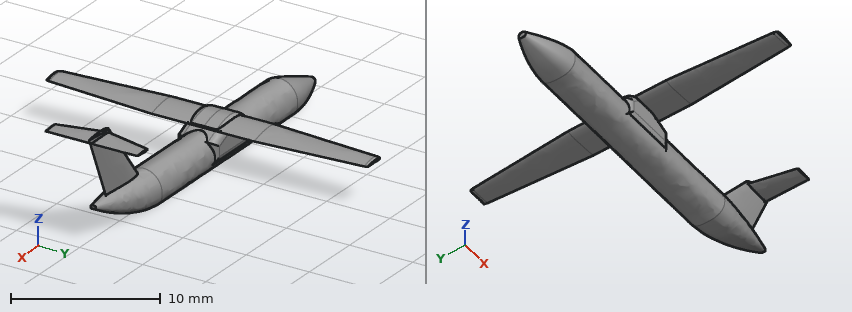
import cadquery as cq
import math

BODY_WIDTH = 2.9
BODY_HEIGHT = 2.68
WAIST_HEIGHT = 0.46
BELLY_FULLNESS = 2.6
SECTION_POINTS = 24
NOSE_LENGTH = 4.0
TAIL_START_X = 20.85
TAIL_END_X = 27.13
NOSE_TIP_BOTTOM = 0.7
NOSE_TIP_TOP = 1.22
NOSE_TIP_WIDTH = 0.6
TAIL_TIP_BOTTOM = 2.15
TAIL_TIP_TOP = 2.43
TAIL_TIP_WIDTH = 0.45
TAPER_STEPS = 6
NOSE_TOP_POWER = 1.2
NOSE_BOTTOM_POWER = 2.0
NOSE_WIDTH_POWER = 1.6
TAIL_TOP_POWER = 3.0
TAIL_BOTTOM_POWER = 1.7
TAIL_WIDTH_POWER = 1.6

FAIRING_FRONT_X = 9.9
FAIRING_REAR_X = 14.5
FAIRING_WIDTH = 3.15
FAIRING_BOTTOM_Z = 0.65
FAIRING_FRONT_Z = 2.27
FAIRING_REAR_Z = 2.32
FAIRING_CREST_X = 11.17
FAIRING_CREST_Z = 3.25
FAIRING_SHOULDER_X = 12.85
FAIRING_SHOULDER_Z = 3.05
FAIRING_ROUND = 0.58

WING_SPAN = 25.45
WING_CENTRE_SPAN = 8.13
WING_CAP_LENGTH = 0.25
WING_ROOT_FRONT_X = 10.75
WING_ROOT_CHORD = 2.77
WING_TIP_FRONT_X = 11.4
WING_TIP_CHORD = 1.65
WING_CAP_INSET = 0.05
WING_ROOT_Z = 2.88
WING_TIP_Z = 2.93
WING_THICKNESS = 0.17
WING_CAP_THICKNESS = 0.1
WING_CAMBER = 0.03
WING_DROP = 0.03

FIN_BASE_Z = 2.2
FIN_TOP_Z = 7.45
FIN_BASE_FRONT_X = 21.33
FIN_BASE_REAR_X = 25.45
FIN_TOP_FRONT_X = 25.35
FIN_TOP_REAR_X = 27.65
FIN_THICKNESS = 0.125

TAILPLANE_SPAN = 7.27
TAILPLANE_Z = 7.08
TAILPLANE_REAR_X = 27.38
TAILPLANE_ROOT_FRONT_X = 25.28
TAILPLANE_TIP_FRONT_X = 26.08
TAILPLANE_ROOT_THICKNESS = 0.15
TAILPLANE_TIP_THICKNESS = 0.1

AIRFOIL_STEPS = 10
ROOT_FACTOR = 1.4845
POWER_FACTORS = (-0.63, -1.758, 1.4215, -0.5075)


def half_thickness(s):
    """Half thickness of an airfoil of unit thickness at chord fraction s."""
    powers = sum(factor * s ** (i + 1) for i, factor in enumerate(POWER_FACTORS))
    return ROOT_FACTOR * math.sqrt(s) + powers


def airfoil_wire(place, chord, thickness, camber=0.0, drop=0.0):
    """Closed airfoil; place(along, across) turns section offsets into a 3D point."""
    def point(s, side):
        middle = 4 * camber * s * (1 - s) - drop * s
        return place(chord * s, chord * (middle + side * thickness * half_thickness(s)))

    fractions = [(i / AIRFOIL_STEPS) ** 2 for i in range(AIRFOIL_STEPS + 1)]
    upper = [point(s, 1) for s in reversed(fractions)]
    lower = [point(s, -1) for s in fractions[1:]]
    outline = upper + lower
    skin = cq.Edge.makeSpline(outline)
    trailing_edge = cq.Edge.makeLine(outline[-1], outline[0])
    return cq.Wire.assembleEdges([skin, trailing_edge])


def airfoil_across(y, front_x, z, chord, thickness, camber=0.0, drop=0.0):
    """Airfoil in a plane of constant Y."""
    return airfoil_wire(lambda along, across: cq.Vector(front_x + along, y, z + across),
                        chord, thickness, camber, drop)


def airfoil_level(z, front_x, chord, thickness):
    """Symmetric airfoil in a plane of constant Z."""
    return airfoil_wire(lambda along, across: cq.Vector(front_x + along, across, z),
                        chord, thickness)


def oval(x, width, bottom, top):
    """Fuselage section at station x: elliptical crown above a fuller, flatter belly."""
    waist_z = bottom + WAIST_HEIGHT * (top - bottom)

    def point(i):
        angle = 2 * math.pi * i / SECTION_POINTS
        across = math.sin(angle)
        up = math.cos(angle)
        if up >= 0:
            height = top - waist_z
            power = 1
        else:
            height = waist_z - bottom
            power = 2 / BELLY_FULLNESS
        y = math.copysign(abs(across) ** power, across) * width / 2
        z = math.copysign(abs(up) ** power, up) * height
        return cq.Vector(x, y, waist_z + z)

    skin = cq.Edge.makeSpline([point(i) for i in range(SECTION_POINTS)], periodic=True)
    return cq.Wire.assembleEdges([skin])


def tapered(full, tip, t, power):
    """Size that eases from full (t = 0) to tip (t = 1)."""
    return full + (tip - full) * t ** power


def nose_section(t):
    return oval(NOSE_LENGTH * (1 - t),
                tapered(BODY_WIDTH, NOSE_TIP_WIDTH, t, NOSE_WIDTH_POWER),
                tapered(0, NOSE_TIP_BOTTOM, t, NOSE_BOTTOM_POWER),
                tapered(BODY_HEIGHT, NOSE_TIP_TOP, t, NOSE_TOP_POWER))


def tail_section(t):
    return oval(tapered(TAIL_START_X, TAIL_END_X, t, 1),
                tapered(BODY_WIDTH, TAIL_TIP_WIDTH, t, TAIL_WIDTH_POWER),
                tapered(0, TAIL_TIP_BOTTOM, t, TAIL_BOTTOM_POWER),
                tapered(BODY_HEIGHT, TAIL_TIP_TOP, t, TAIL_TOP_POWER))


def make_fuselage():
    steps = [i / TAPER_STEPS for i in range(TAPER_STEPS + 1)]
    nose = cq.Solid.makeLoft([nose_section(t) for t in reversed(steps)])
    tail = cq.Solid.makeLoft([tail_section(t) for t in steps])
    barrel = cq.Solid.makeLoft([nose_section(0), tail_section(0)], True)
    return cq.Workplane(barrel).union(cq.Workplane(nose)).union(cq.Workplane(tail))


def make_fairing():
    """Humped block with rounded rims on both side faces."""
    hump = [
        (FAIRING_CREST_X, FAIRING_CREST_Z),
        (FAIRING_SHOULDER_X, FAIRING_SHOULDER_Z),
        (FAIRING_REAR_X, FAIRING_REAR_Z),
    ]
    block = (
        cq.Workplane("XZ")
        .moveTo(FAIRING_FRONT_X, FAIRING_BOTTOM_Z)
        .lineTo(FAIRING_FRONT_X, FAIRING_FRONT_Z)
        .spline(hump, includeCurrent=True)
        .lineTo(FAIRING_REAR_X, FAIRING_BOTTOM_Z)
        .close()
        .extrude(FAIRING_WIDTH / 2, both=True)
    )
    return block.faces("<Y or >Y").edges().fillet(FAIRING_ROUND)


def make_wing():
    """One piece from tip to tip: flat centre, tapered panels and small end caps."""
    def root(y):
        return airfoil_across(y, WING_ROOT_FRONT_X, WING_ROOT_Z, WING_ROOT_CHORD,
                              WING_THICKNESS, WING_CAMBER, WING_DROP)

    def tip(y):
        return airfoil_across(y, WING_TIP_FRONT_X, WING_TIP_Z, WING_TIP_CHORD,
                              WING_THICKNESS, WING_CAMBER, WING_DROP)

    def cap(y):
        return airfoil_across(y, WING_TIP_FRONT_X + WING_CAP_INSET, WING_TIP_Z,
                              WING_TIP_CHORD - 2 * WING_CAP_INSET,
                              WING_CAP_THICKNESS, WING_CAMBER, WING_DROP)

    cap_y = WING_SPAN / 2
    tip_y = cap_y - WING_CAP_LENGTH
    root_y = WING_CENTRE_SPAN / 2
    sections = [cap(-cap_y), tip(-tip_y), root(-root_y), root(root_y), tip(tip_y), cap(cap_y)]
    return cq.Workplane(cq.Solid.makeLoft(sections, True))


def make_fin():
    base = airfoil_level(FIN_BASE_Z, FIN_BASE_FRONT_X,
                         FIN_BASE_REAR_X - FIN_BASE_FRONT_X, FIN_THICKNESS)
    top = airfoil_level(FIN_TOP_Z, FIN_TOP_FRONT_X,
                        FIN_TOP_REAR_X - FIN_TOP_FRONT_X, FIN_THICKNESS)
    return cq.Workplane(cq.Solid.makeLoft([base, top], True))


def make_tailplane():
    def section(y, front_x, thickness):
        return airfoil_across(y, front_x, TAILPLANE_Z, TAILPLANE_REAR_X - front_x,
                              thickness)

    half_span = TAILPLANE_SPAN / 2
    sections = [
        section(-half_span, TAILPLANE_TIP_FRONT_X, TAILPLANE_TIP_THICKNESS),
        section(0, TAILPLANE_ROOT_FRONT_X, TAILPLANE_ROOT_THICKNESS),
        section(half_span, TAILPLANE_TIP_FRONT_X, TAILPLANE_TIP_THICKNESS),
    ]
    return cq.Workplane(cq.Solid.makeLoft(sections, True))


wing = make_wing()
tailplane = make_tailplane()
whole_fairing = make_fairing()
whole_fin = make_fin()

fairing = whole_fairing.cut(wing)
fin = whole_fin.cut(tailplane)
fuselage = make_fuselage().cut(whole_fairing).cut(whole_fin).cut(wing)

result = cq.Compound.makeCompound([
    *fuselage.solids().vals(),
    *fairing.solids().vals(),
    *wing.solids().vals(),
    *fin.solids().vals(),
    *tailplane.solids().vals(),
])